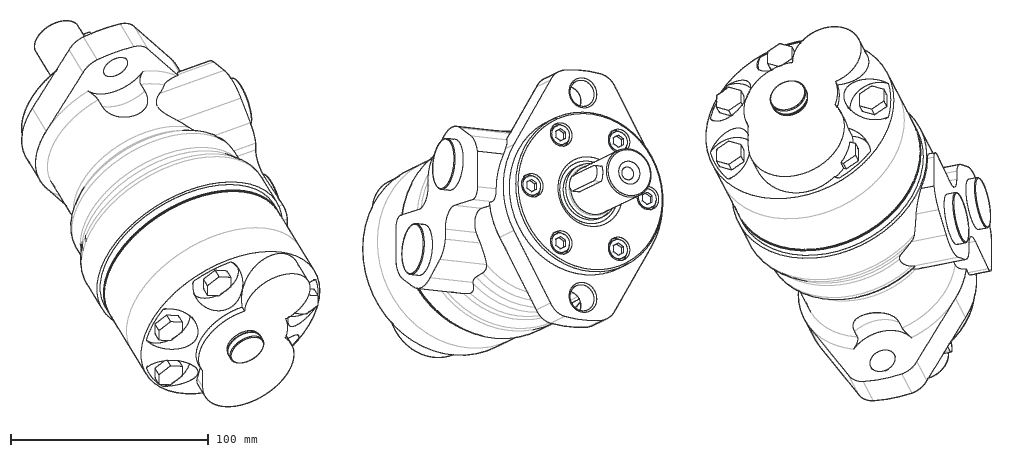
import cadquery as cq
import math


SHAFT_D = 25.0
SHAFT_COLLAR_D = 28.5
SHAFT_CHAMFER = 0.7
COLLAR_START = 42.5
COLLAR_STEP = 43.3
COLLAR_STEP_D = 26.0
COLLAR_FULL = 44.7
SHAFT_END = 70.7
CENTRE_HOLE_D = 6.6
CENTRE_SINK_D = 11.9
CENTRE_SINK_DEPTH = 1.8
CENTRE_HOLE_DEPTH = 16.0

KEY_START = 4.8
KEY_LENGTH = 32.5
KEY_WIDTH = 8.0
KEY_BOTTOM = 8.7
KEY_TOP = 15.7

PILOT_START = 45.8
PILOT_D = 82.5
PILOT_CHAMFER = 1.0
SEAL_RECESS_D = 36.0
SEAL_RECESS_DEPTH = 1.8
SEAL_LIP_D = 32.5

FLANGE_START = 54.3
FLANGE_END = 71.0
FLANGE_SIDE_R = 44.7
FLANGE_HEIGHT = 129.8
FLANGE_TIP_R = FLANGE_HEIGHT / 2
FLANGE_TIP_HALF_WIDTH = 10.3
FLANGE_SIDE_LENGTH = 41.0
FLANGE_SIDE_ANGLE = 30.0
FLANGE_CORNER_R = 11.5
MOUNT_HOLE_D = 13.5
MOUNT_SINK_D = 15.5
MOUNT_HOLE_Z = 53.1
WRENCH_SCALLOP_R = 19.0
WRENCH_SCALLOP_END = 80.3

SCREW_COUNT = 6
SCREW_CIRCLE_R = 32.5
SCREW_RECESS_D = 12.0
SCREW_RECESS_DEPTH = 3.5
SCREW_HEAD_D = 10.0
SCREW_HEAD_DROP = 0.7
SCREW_SOCKET_D = 5.5
SCREW_SOCKET_DEPTH = 2.3

NECK_FILLET = 4.5
LARGE_R = 51.8
GEAR_R = 50.0
NECK_END = 106.5
MIDDLE_START = 118.5
MIDDLE_END = 128.9
LARGE_START = 140.7
LARGE_END = 159.2
FIRST_CONE_ANGLE = 45.0
FIRST_FOOT = 5.2
FIRST_CROWN = 4.0
SECOND_CONE_ANGLE = 30.0
SECOND_FOOT = 3.5
SECOND_CROWN = 2.7
GROOVE_START = 163.0
GROOVE_WIDTH = 0.7
GROOVE_DEPTH = 0.5
GEAR_END = 190.7
COVER_RIM_END = 208.0

COVER_CONE_END = 220.1
COVER_END = 223.0
COVER_HUB_R = 24.9
UPPER_LOBE = (19.2, 24.6, 18.2)
LOWER_LOBE = (3.0, -22.8, 25.5)
BOLT_COUNT = 7
BOLT_CIRCLE_R = 40.0
BOLT_FLATS = 13.0
BOLT_HEAD_HEIGHT = 5.5
BOLT_POCKET_D = 26.0
BOLT_POCKET_FLOOR = 208.7
COVERED_BOLTS = (2, 5)

BLOCK_X = 110.2
BLOCK_BASE = 12.5
BLOCK_TOP = 55.2
PORT_OFFSET_X = 18.0
PORT_OFFSET_Z = 18.2
PORT_WALL_R = 19.6
BLOCK_HALF_LENGTH = 47.7
END_WALL_FOOT = (-BLOCK_HALF_LENGTH, 0.5)
END_WALL_HEAD = (-BLOCK_HALF_LENGTH, 19.0)
CORNER_MIDDLE = (-46.0, 22.5)
CORNER_END = (-40.1, 28.5)
PORT_ARC_START = (-27.5, 35.4)
PORT_ARC_TOP = (-PORT_OFFSET_X, PORT_OFFSET_Z + PORT_WALL_R)
PORT_ARC_END = (-7.8, 35.0)
STEP_ROUND_START = (3.6, 27.8)
STEP_ROUND_END = (10.0, 18.7)
STEP_HOLLOW_START = (10.0, 13.5)
STEP_HOLLOW_END = (20.8, 3.5)
LEDGE_END = (42.2, 5.0)

PORT_PLUG_D = 26.0
PORT_PLUG_TOP = 60.2
PLUG_CHAMFER = 0.5

DRAIN_PLUG_D = 19.0
DRAIN_NECK_D = 18.0
DRAIN_NECK_LENGTH = 1.4
DRAIN_PLUG_END = 228.0


def rod(start, end, diameter, y=0.0, z=0.0):
    """Cylinder along X between two stations."""
    return cq.Workplane("YZ", origin=(start, y, z)).circle(diameter / 2).extrude(end - start)


def hex_rod(start, end, flats, y, z):
    """Hexagonal prism along X with corners pointing along Z."""
    corners_d = flats / math.cos(math.radians(30))
    prism = cq.Workplane("YZ").polygon(6, corners_d).extrude(end - start)
    return prism.rotate((0, 0, 0), (1, 0, 0), 90).translate((start, y, z))


def cone(start, end, start_d, end_d, y=0.0, z=0.0):
    """Cone or truncated cone along X."""
    direction = cq.Vector(1, 0, 0)
    base = cq.Vector(start, y, z)
    solid = cq.Solid.makeCone(start_d / 2, end_d / 2, end - start, base, direction)
    return cq.Workplane(obj=solid)


def spin(profile):
    """Revolve a closed (x, radius) profile about the shaft axis."""
    return profile.close().revolve(360, (0, 0, 0), (1, 0, 0))


def polar(radius, angle):
    return radius * math.cos(math.radians(angle)), radius * math.sin(math.radians(angle))


def shaft_envelope():
    shaft_r = SHAFT_D / 2
    collar_r = SHAFT_COLLAR_D / 2
    return spin(
        cq.Workplane("XY")
        .moveTo(0, 0)
        .lineTo(0, shaft_r - SHAFT_CHAMFER)
        .lineTo(SHAFT_CHAMFER, shaft_r)
        .lineTo(COLLAR_START, shaft_r)
        .lineTo(COLLAR_STEP, COLLAR_STEP_D / 2)
        .lineTo(COLLAR_FULL, collar_r)
        .lineTo(SHAFT_END, collar_r)
        .lineTo(SHAFT_END, 0)
    )


def make_key():
    centre_x = KEY_START + KEY_LENGTH / 2
    return (
        cq.Workplane("XZ", origin=(centre_x, KEY_BOTTOM, 0))
        .slot2D(KEY_LENGTH, KEY_WIDTH)
        .extrude(KEY_BOTTOM - KEY_TOP)
    )


def make_shaft(key):
    centre_hole = rod(0, CENTRE_HOLE_DEPTH, CENTRE_HOLE_D)
    drill_tip = cone(CENTRE_HOLE_DEPTH, CENTRE_HOLE_DEPTH + CENTRE_HOLE_D / 2, CENTRE_HOLE_D, 0)
    centre_sink = cone(0, CENTRE_SINK_DEPTH, CENTRE_SINK_D, CENTRE_HOLE_D)
    return shaft_envelope().cut(centre_hole).cut(drill_tip).cut(centre_sink).cut(key)


def shoulder_rise(length, angle, foot, crown):
    """Radius gained over a shoulder: hollow foot arc, straight cone, round crown arc."""
    half_slope = math.tan(math.radians(angle / 2))
    return (foot + crown) * half_slope + (length - foot - crown) * math.tan(math.radians(angle))


def shoulder(profile, start, end, low_r, angle, foot, crown):
    """Rising cone that blends in with a hollow foot arc and out with a round crown arc."""
    half_slope = math.tan(math.radians(angle / 2))
    foot_r = low_r + foot * half_slope
    crown_r = low_r + shoulder_rise(end - start, angle, foot, crown)
    cone_end_r = crown_r - crown * half_slope
    return (
        profile.lineTo(start, low_r)
        .tangentArcPoint((start + foot, foot_r), relative=False)
        .lineTo(end - crown, cone_end_r)
        .tangentArcPoint((end, crown_r), relative=False)
    )


def make_barrel():
    first_blend = (FIRST_CONE_ANGLE, FIRST_FOOT, FIRST_CROWN)
    second_blend = (SECOND_CONE_ANGLE, SECOND_FOOT, SECOND_CROWN)
    middle_r = LARGE_R - shoulder_rise(LARGE_START - MIDDLE_END, *second_blend)
    neck_r = middle_r - shoulder_rise(MIDDLE_START - NECK_END, *first_blend)
    profile = (
        cq.Workplane("XY")
        .moveTo(FLANGE_END, 0)
        .lineTo(FLANGE_END, neck_r + NECK_FILLET)
        .radiusArc((FLANGE_END + NECK_FILLET, neck_r), -NECK_FILLET)
    )
    profile = shoulder(profile, NECK_END, MIDDLE_START, neck_r, *first_blend)
    profile = shoulder(profile, MIDDLE_END, LARGE_START, middle_r, *second_blend)
    profile = (
        profile.lineTo(LARGE_END, LARGE_R)
        .lineTo(LARGE_END, GEAR_R)
        .lineTo(GROOVE_START, GEAR_R)
        .lineTo(GROOVE_START, GEAR_R - GROOVE_DEPTH)
        .lineTo(GROOVE_START + GROOVE_WIDTH, GEAR_R - GROOVE_DEPTH)
        .lineTo(GROOVE_START + GROOVE_WIDTH, GEAR_R)
        .lineTo(GEAR_END, GEAR_R)
        .lineTo(GEAR_END, 0)
    )
    return spin(profile)


def make_flange():
    foot_y, foot_z = polar(FLANGE_SIDE_R, FLANGE_SIDE_ANGLE)
    run_y, run_z = polar(FLANGE_SIDE_LENGTH, FLANGE_SIDE_ANGLE + 90)
    side_y, side_z = foot_y + run_y, foot_z + run_z
    tip_y = FLANGE_TIP_HALF_WIDTH
    tip_z = math.sqrt(FLANGE_TIP_R ** 2 - tip_y ** 2)
    return (
        cq.Workplane("YZ", origin=(FLANGE_START, 0, 0))
        .moveTo(foot_y, foot_z)
        .lineTo(side_y, side_z)
        .radiusArc((tip_y, tip_z), -FLANGE_CORNER_R)
        .threePointArc((0, FLANGE_TIP_R), (-tip_y, tip_z))
        .radiusArc((-side_y, side_z), -FLANGE_CORNER_R)
        .lineTo(-foot_y, foot_z)
        .threePointArc((-FLANGE_SIDE_R, 0), (-foot_y, -foot_z))
        .lineTo(-side_y, -side_z)
        .radiusArc((-tip_y, -tip_z), -FLANGE_CORNER_R)
        .threePointArc((0, -FLANGE_TIP_R), (tip_y, -tip_z))
        .radiusArc((side_y, -side_z), -FLANGE_CORNER_R)
        .lineTo(foot_y, -foot_z)
        .threePointArc((FLANGE_SIDE_R, 0), (foot_y, foot_z))
        .close()
        .extrude(FLANGE_END - FLANGE_START)
    )


def add_block_half(profile, turn):
    """Add one half of the block outline; turn is 1 as listed, -1 for its half-turn copy."""

    def at(point):
        return turn * point[0], turn * point[1]

    next_foot = (-END_WALL_FOOT[0], -END_WALL_FOOT[1])
    return (
        profile.lineTo(*at(END_WALL_HEAD))
        .threePointArc(at(CORNER_MIDDLE), at(CORNER_END))
        .lineTo(*at(PORT_ARC_START))
        .threePointArc(at(PORT_ARC_TOP), at(PORT_ARC_END))
        .lineTo(*at(STEP_ROUND_START))
        .tangentArcPoint(at(STEP_ROUND_END), relative=False)
        .lineTo(*at(STEP_HOLLOW_START))
        .tangentArcPoint(at(STEP_HOLLOW_END), relative=False)
        .lineTo(*at(LEDGE_END))
        .tangentArcPoint(at(next_foot), relative=False)
    )


def make_port_block():
    """Block with a half-turn symmetric outline: each half wraps round one port."""
    profile = cq.Workplane("XZ", origin=(BLOCK_X, BLOCK_BASE, 0)).moveTo(*END_WALL_FOOT)
    for turn in (1, -1):
        profile = add_block_half(profile, turn)
    return profile.close().extrude(BLOCK_BASE - BLOCK_TOP)


def make_lobe_web():
    """Flat web between the hub and the lower lobe, tangent to the lobe."""
    lobe_y, lobe_z, lobe_r = LOWER_LOBE
    flat_y = lobe_y - lobe_r
    hub_z = -math.sqrt(COVER_HUB_R ** 2 - flat_y ** 2)
    return (
        cq.Workplane("YZ", origin=(GEAR_END, 0, 0))
        .moveTo(0, 0)
        .lineTo(flat_y, hub_z)
        .lineTo(flat_y, lobe_z)
        .lineTo(0, lobe_z)
        .close()
        .extrude(COVER_END - GEAR_END)
    )


def make_rear_cover():
    cover = spin(
        cq.Workplane("XY")
        .moveTo(GEAR_END, 0)
        .lineTo(GEAR_END, GEAR_R)
        .lineTo(COVER_RIM_END, GEAR_R)
        .lineTo(COVER_CONE_END, COVER_HUB_R)
        .lineTo(COVER_END, COVER_HUB_R)
        .lineTo(COVER_END, 0)
    )
    first_angle = 180 - 180 / BOLT_COUNT
    spots = [polar(BOLT_CIRCLE_R, first_angle - i * 360 / BOLT_COUNT) for i in range(BOLT_COUNT)]
    open_spots = [spot for i, spot in enumerate(spots) if i not in COVERED_BOLTS]
    for y, z in open_spots:
        cover = cover.cut(rod(BOLT_POCKET_FLOOR, COVER_END, BOLT_POCKET_D, y, z))
    for y, z, radius in (UPPER_LOBE, LOWER_LOBE):
        cover = cover.union(rod(GEAR_END, COVER_END, 2 * radius, y, z))
    cover = cover.union(make_lobe_web())
    for y, z in open_spots:
        cover = cover.union(hex_rod(GEAR_END, COVER_RIM_END + BOLT_HEAD_HEIGHT, BOLT_FLATS, y, z))
    return cover


def round_ended_scallop():
    """Wrench clearance behind the flange: a cylinder along X with a ball end."""
    return spin(
        cq.Workplane("XY")
        .moveTo(FLANGE_END, 0)
        .lineTo(FLANGE_END, WRENCH_SCALLOP_R)
        .lineTo(WRENCH_SCALLOP_END, WRENCH_SCALLOP_R)
        .radiusArc((WRENCH_SCALLOP_END + WRENCH_SCALLOP_R, 0), WRENCH_SCALLOP_R)
    )


def cut_mounting_holes(housing):
    sink_depth = (MOUNT_SINK_D - MOUNT_HOLE_D) / 2
    for side in (1, -1):
        z = side * MOUNT_HOLE_Z
        housing = housing.cut(round_ended_scallop().translate((0, 0, z)))
        housing = housing.cut(rod(FLANGE_START, FLANGE_END, MOUNT_HOLE_D, 0, z))
        sink = cone(FLANGE_START, FLANGE_START + sink_depth, MOUNT_SINK_D, MOUNT_HOLE_D, 0, z)
        housing = housing.cut(sink)
    return housing


def add_front_screws(housing):
    recess_floor = PILOT_START + SCREW_RECESS_DEPTH
    head_face = PILOT_START + SCREW_HEAD_DROP
    for i in range(SCREW_COUNT):
        y, z = polar(SCREW_CIRCLE_R, i * 360 / SCREW_COUNT)
        recess = rod(PILOT_START, recess_floor, SCREW_RECESS_D, y, z)
        head = rod(head_face, recess_floor, SCREW_HEAD_D, y, z)
        socket = hex_rod(head_face, head_face + SCREW_SOCKET_DEPTH, SCREW_SOCKET_D, y, z)
        housing = housing.cut(recess.cut(head).union(socket))
    return housing


def make_housing(shaft_space):
    pilot = rod(PILOT_START, FLANGE_START, PILOT_D).faces("<X").chamfer(PILOT_CHAMFER)
    housing = make_flange().union(pilot).union(make_barrel())
    housing = cut_mounting_holes(housing).union(make_port_block())
    housing = add_front_screws(housing)
    seal_recess = cone(PILOT_START, PILOT_START + SEAL_RECESS_DEPTH, SEAL_RECESS_D, SEAL_LIP_D)
    housing = housing.cut(seal_recess).cut(shaft_space)
    return housing.union(make_rear_cover(), clean=False)


def make_port_plug(x, z):
    return (
        cq.Workplane("XZ", origin=(x, BLOCK_TOP, z))
        .circle(PORT_PLUG_D / 2)
        .extrude(BLOCK_TOP - PORT_PLUG_TOP)
        .faces(">Y")
        .chamfer(PLUG_CHAMFER)
    )


def make_drain_plug():
    neck_end = COVER_END + DRAIN_NECK_LENGTH
    neck = rod(COVER_END, neck_end, DRAIN_NECK_D)
    cap = rod(neck_end, DRAIN_PLUG_END, DRAIN_PLUG_D).faces(">X").chamfer(PLUG_CHAMFER)
    return neck.union(cap)


key = make_key()
shaft = make_shaft(key)
housing = make_housing(shaft_envelope())
port_plugs = [make_port_plug(BLOCK_X - side * PORT_OFFSET_X, side * PORT_OFFSET_Z) for side in (1, -1)]
drain_plug = make_drain_plug()

result = cq.Compound.makeCompound(
    [housing.val(), shaft.val(), key.val(), *[plug.val() for plug in port_plugs], drain_plug.val()]
)